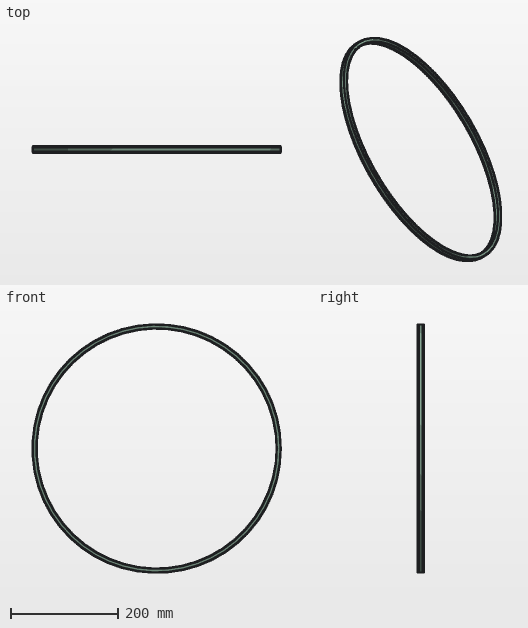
import cadquery as cq
import math

outer_diameter = 462.0
ring_width = 12.5
radial_thickness = 8.0
bevel_width = 3.0
bevel_angle = 20
edge_radius = 1.6

middle_radius = (outer_diameter - radial_thickness) / 2
half_thickness = radial_thickness / 2
half_width = ring_width / 2
half_land = half_width - bevel_width
half_flat = half_thickness - bevel_width * math.tan(math.radians(bevel_angle))

section = (
    cq.Sketch()
    .polygon([
        (half_thickness, -half_land),
        (half_thickness, half_land),
        (half_flat, half_width),
        (-half_flat, half_width),
        (-half_thickness, half_land),
        (-half_thickness, -half_land),
        (-half_flat, -half_width),
        (half_flat, -half_width),
        (half_thickness, -half_land),
    ])
    .vertices("<Y or >Y")
    .fillet(edge_radius)
)

axis_start = (-middle_radius, 0, 0)
axis_end = (-middle_radius, 1, 0)
result = (
    cq.Workplane("XY", origin=(middle_radius, 0, 0))
    .placeSketch(section)
    .revolve(360, axis_start, axis_end)
)